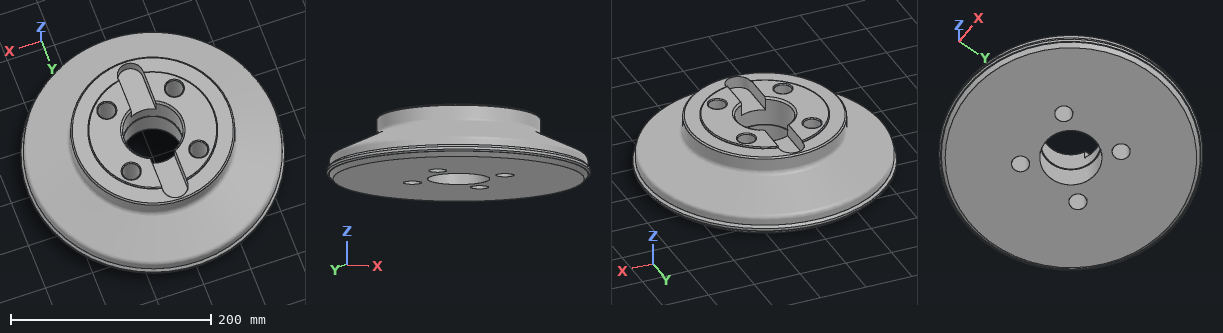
import cadquery as cq
import math

overall_height = 63.0
pad_height = 1.5
hub_top = overall_height - pad_height

hub_radius = 164.0 / 2
hub_chamfer = 1.5
pad_radius = 64.8
pad_chamfer = 1.0
cylinder_radius = 258.5 / 2
shoulder_height = 20.8
cone_angle = 25.0
blend_radius = 5.3
cone_rise = (cylinder_radius - hub_radius) * math.tan(math.radians(cone_angle))
hub_base = shoulder_height + cone_rise

rim_radius = 131.8
rim_band_bottom = 6.3
rim_band_top = 9.0
rim_ring_top = rim_band_top + rim_radius - cylinder_radius
underside_radius = rim_radius - rim_band_bottom
rim_ring_bottom = 4.7
seat_outer_radius = underside_radius + rim_ring_bottom

bore_diameter = 60.0
bore_chamfer = 2.0
relief_diameter = 62.0
relief_height = 31.0

hole_diameter = 18.0
hole_spacing = 71.7
hole_chamfer = 1.0

slot_width = 26.0
slot_length = 156.5
slot_floor = 48.8


def chamfered_cutter(diameter, chamfer):
    """Through cutter for a hole whose mouth on the pad is chamfered at 45 degrees."""
    radius = diameter / 2
    return (
        cq.Workplane("XZ")
        .lineTo(radius, 0)
        .lineTo(radius, overall_height - chamfer)
        .lineTo(radius + chamfer, overall_height)
        .lineTo(0, overall_height)
        .close()
        .revolve(360, (0, 0, 0), (0, 1, 0))
    )


def make_blank():
    """Turned wheel: base cylinder, conical web and hub."""
    blank = (
        cq.Workplane("XZ")
        .lineTo(underside_radius, 0)
        .lineTo(seat_outer_radius, rim_ring_bottom)
        .lineTo(cylinder_radius, rim_ring_bottom)
        .lineTo(cylinder_radius, shoulder_height)
        .lineTo(hub_radius, hub_base)
        .lineTo(hub_radius, hub_top)
        .lineTo(0, hub_top)
        .close()
        .revolve(360, (0, 0, 0), (0, 1, 0))
    )
    blank = blank.faces(">Z").edges().chamfer(hub_chamfer)
    web_edges = cq.selectors.BoxSelector(
        (-rim_radius, -rim_radius, rim_ring_top),
        (rim_radius, rim_radius, hub_top - 2 * hub_chamfer),
    )
    return blank.edges(web_edges).edges("%CIRCLE").fillet(blend_radius)


def make_pad():
    """Raised seating pad on the hub."""
    pad = cq.Workplane("XY").workplane(offset=hub_top).circle(pad_radius).extrude(pad_height)
    return pad.faces(">Z").edges().chamfer(pad_chamfer)


def make_wheel():
    wheel = make_blank().union(make_pad())

    wheel = wheel.cut(chamfered_cutter(bore_diameter, bore_chamfer))
    relief = cq.Workplane("XY").circle(relief_diameter / 2).extrude(relief_height)
    wheel = wheel.cut(relief)

    for x_side in (-1, 1):
        for y_side in (-1, 1):
            hole = chamfered_cutter(hole_diameter, hole_chamfer)
            place = (x_side * hole_spacing / 2, y_side * hole_spacing / 2, 0)
            wheel = wheel.cut(hole.translate(place))

    slot = (
        cq.Workplane("XY")
        .workplane(offset=slot_floor)
        .slot2D(slot_length, slot_width, 90)
        .extrude(overall_height - slot_floor)
    )
    return wheel.cut(slot)


def make_rim_ring():
    """Pointed ring around the wheel's base cylinder."""
    return (
        cq.Workplane("XZ")
        .moveTo(cylinder_radius, rim_ring_bottom)
        .lineTo(seat_outer_radius, rim_ring_bottom)
        .lineTo(rim_radius, rim_band_bottom)
        .lineTo(rim_radius, rim_band_top)
        .lineTo(cylinder_radius, rim_ring_top)
        .close()
        .revolve(360, (0, 0, 0), (0, 1, 0))
    )


wheel = make_wheel()
rim_ring = make_rim_ring()

result = cq.Compound.makeCompound([wheel.val(), rim_ring.val()])